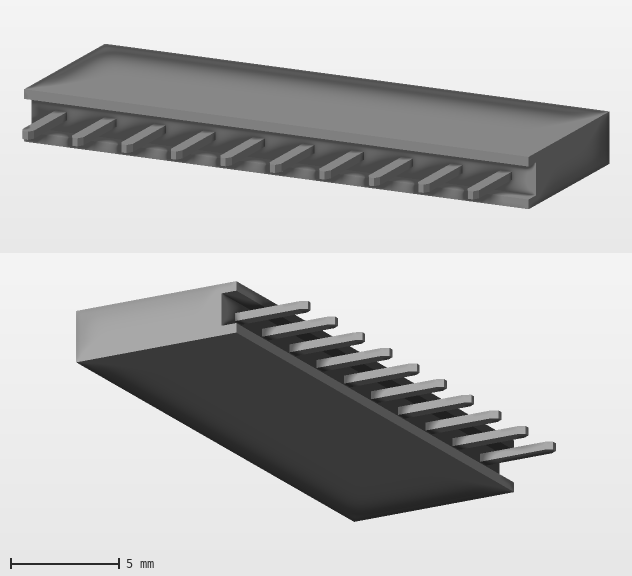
import cadquery as cq

housing_length = 25.9
housing_depth = 8.5
housing_height = 2.5

channel_depth = 0.78
channel_wall = 0.47
channel_height = housing_height - 2 * channel_wall

pin_count = 10
pin_pitch = 2.55
pin_width = 0.6
pin_thickness = 0.4
pin_protrusion = 3.0
tip_length = 0.3
tip_width = 0.25

channel_floor_y = channel_depth
pin_end_y = -pin_protrusion


def make_housing():
    """Solid bar with an open channel running through both ends."""
    bar = cq.Workplane("XY").box(
        housing_length, housing_depth, housing_height, centered=(True, False, True)
    )
    channel = cq.Workplane("XY").box(
        housing_length, channel_depth, channel_height, centered=(True, False, True)
    )
    return bar.cut(channel)


def make_pin(center_x):
    """Flat pin standing on the channel floor, its end tapered in width."""
    taper_start_y = pin_end_y + tip_length
    outline = [
        (center_x - pin_width / 2, channel_floor_y),
        (center_x - pin_width / 2, taper_start_y),
        (center_x - tip_width / 2, pin_end_y),
        (center_x + tip_width / 2, pin_end_y),
        (center_x + pin_width / 2, taper_start_y),
        (center_x + pin_width / 2, channel_floor_y),
    ]
    return cq.Workplane("XY").polyline(outline).close().extrude(pin_thickness / 2, both=True)


result = make_housing()
first_pin_x = -(pin_count - 1) * pin_pitch / 2
for pin_index in range(pin_count):
    result = result.union(make_pin(first_pin_x + pin_index * pin_pitch))